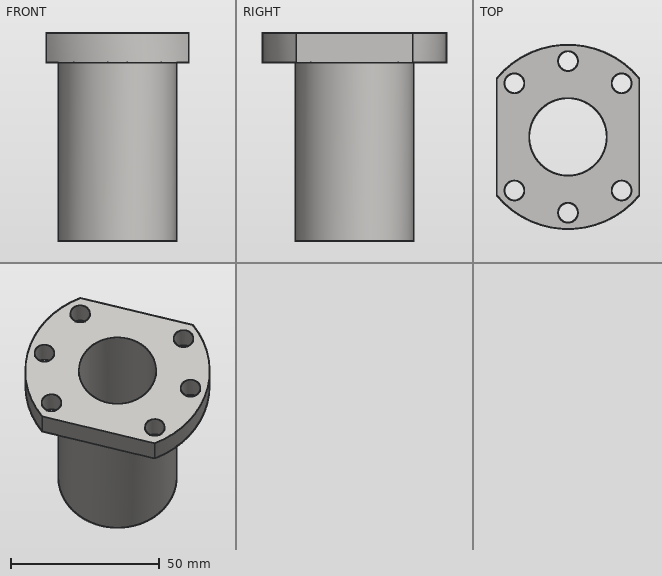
import cadquery as cq

total_height = 70.0
flange_thickness = 10.0
flange_diameter = 62.0
flange_width = 48.0
barrel_diameter = 40.0
bore_diameter = 26.0

hole_diameter = 6.6
hole_circle_radius = 25.5
hole_spacing_angle = 45.0

barrel_length = total_height - flange_thickness


def make_flange():
    """Disc with two parallel flats, resting on top of the barrel."""
    disc = cq.Workplane("XY").circle(flange_diameter / 2).extrude(flange_thickness)
    flats = cq.Workplane("XY").rect(flange_width, flange_diameter).extrude(flange_thickness)
    return disc.intersect(flats).translate((0, 0, barrel_length))


def make_mounting_holes():
    """Cutters for the holes, centred on the +Y and -Y sides."""
    cutters = cq.Workplane("XY").workplane(offset=barrel_length)
    for side_angle in (90, 270):
        cutters = cutters.polarArray(
            hole_circle_radius, side_angle - hole_spacing_angle, 2 * hole_spacing_angle, 3
        ).circle(hole_diameter / 2).extrude(flange_thickness)
    return cutters


barrel = cq.Workplane("XY").circle(barrel_diameter / 2).extrude(barrel_length)
bore = cq.Workplane("XY").circle(bore_diameter / 2).extrude(total_height)

result = barrel.union(make_flange()).cut(bore).cut(make_mounting_holes())